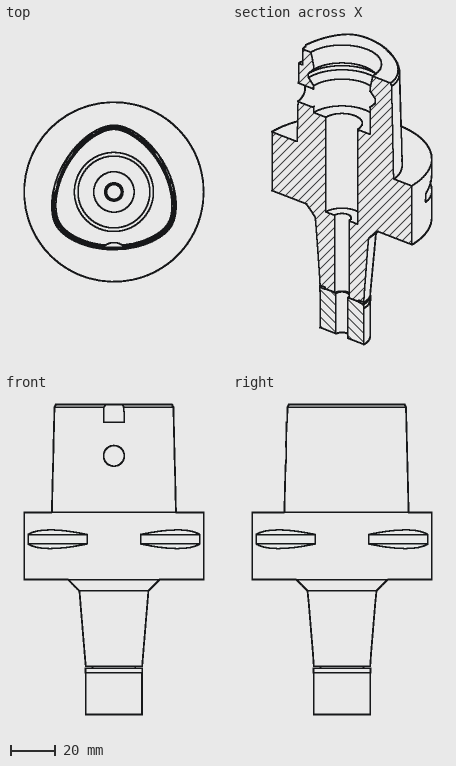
import cadquery as cq
import math


SHANK_HEIGHT = 48.0
SHANK_BASE_WIDTH = 55.4
SHANK_TAPER = 1 / 20
LOBE_HEIGHT = 2.0
LOBES = 3
LOBE_ANGLE = math.radians(90)
PROFILE_START_ANGLE = math.radians(-90)
PROFILE_POINTS = 36
RIM_CHAMFER_HEIGHT = 1.3
RIM_CHAMFER_WIDTH = 0.7

FLANGE_RADIUS = 40.0
FLANGE_HEIGHT = 30.0
SLOT_Z = -12.0
SLOT_FLAT_DISTANCE = 35.4
SLOT_FLOOR_HEIGHT = 4.15
SLOT_MOUTH_HEIGHT = 8.3
SLOT_COUNT = 4
SLOT_START_ANGLE = 45

CONE_TOP_RADIUS = 20.4
NECK_TOP_RADIUS = 15.4
NECK_TOP_Z = -FLANGE_HEIGHT - (CONE_TOP_RADIUS - NECK_TOP_RADIUS)
NECK_END_RADIUS = 12.6
NECK_END_Z = -68.6

GAP = 0.8
SPIGOT_RADIUS = 9.6

HEAD_RADIUS = 12.6
HEAD_COLLAR_RADIUS = 12.7
HEAD_COLLAR_HEIGHT = 2.1
HEAD_TOP_Z = NECK_END_Z - GAP
HEAD_END_Z = -90.0
HEAD_HOLE_RADIUS = 3.3

BORE_MOUTH_RADIUS = 17.6
BORE_RADIUS = 16.0
BORE_MOUTH_DEPTH = 6.6
UNDERCUT_RADIUS = 19.05
UNDERCUT_START_DEPTH = 8.2
UNDERCUT_END_DEPTH = 16.4
UNDERCUT_SLOPE = UNDERCUT_RADIUS - BORE_RADIUS
BORE_DEPTH = 30.0
BOLT_HOLE_RADIUS = 9.0
BOLT_HOLE_END_Z = -FLANGE_HEIGHT
COOLANT_HOLE_RADIUS = 4.05

NOTCH_RADIUS = 6.4
NOTCH_INNER_Y = -22.5
NOTCH_DEPTH = 8.0
SIDE_HOLE_RADIUS = 4.6
SIDE_HOLE_Z = 25.1
SIDE_HOLE_FLOOR_Y = -16.5


def shank_width(z):
    return SHANK_BASE_WIDTH - SHANK_TAPER * z


def shank_profile(width, z):
    """Smooth closed profile, traced by the normal direction of its tangent line."""
    points = []
    for index in range(PROFILE_POINTS):
        angle = PROFILE_START_ANGLE + 2 * math.pi * index / PROFILE_POINTS
        lobe_phase = LOBES * (angle - LOBE_ANGLE)
        reach = width / 2 + LOBE_HEIGHT * math.cos(lobe_phase)
        slide = -LOBES * LOBE_HEIGHT * math.sin(lobe_phase)
        x = reach * math.cos(angle) - slide * math.sin(angle)
        y = reach * math.sin(angle) + slide * math.cos(angle)
        points.append(cq.Vector(x, y, z))
    return cq.Wire.assembleEdges([cq.Edge.makeSpline(points, periodic=True)])


def tapered_shank():
    chamfer_z = SHANK_HEIGHT - RIM_CHAMFER_HEIGHT
    base = shank_profile(shank_width(0), 0)
    shoulder = shank_profile(shank_width(chamfer_z), chamfer_z)
    rim = shank_profile(shank_width(chamfer_z) - 2 * RIM_CHAMFER_WIDTH, SHANK_HEIGHT)
    cone = cq.Solid.makeLoft([base, shoulder], True)
    chamfer = cq.Solid.makeLoft([shoulder, rim], True)
    return cq.Workplane(cone).union(cq.Workplane(chamfer))


def turned(points):
    """Solid of revolution about Z from (radius, z) points."""
    return cq.Workplane("XZ").polyline(points).close().revolve(360, (0, 0, 0), (0, 1, 0))


def flange_and_neck():
    return turned([
        (0, 0),
        (FLANGE_RADIUS, 0),
        (FLANGE_RADIUS, -FLANGE_HEIGHT),
        (CONE_TOP_RADIUS, -FLANGE_HEIGHT),
        (NECK_TOP_RADIUS, NECK_TOP_Z),
        (NECK_END_RADIUS, NECK_END_Z),
        (SPIGOT_RADIUS, NECK_END_Z),
        (SPIGOT_RADIUS, HEAD_TOP_Z),
        (0, HEAD_TOP_Z),
    ])


def stepped_bore():
    top = SHANK_HEIGHT
    return turned([
        (0, top),
        (BORE_MOUTH_RADIUS, top),
        (BORE_RADIUS, top - BORE_MOUTH_DEPTH),
        (BORE_RADIUS, top - UNDERCUT_START_DEPTH),
        (UNDERCUT_RADIUS, top - UNDERCUT_START_DEPTH - UNDERCUT_SLOPE),
        (UNDERCUT_RADIUS, top - UNDERCUT_END_DEPTH + UNDERCUT_SLOPE),
        (BORE_RADIUS, top - UNDERCUT_END_DEPTH),
        (BORE_RADIUS, top - BORE_DEPTH),
        (BOLT_HOLE_RADIUS, top - BORE_DEPTH),
        (BOLT_HOLE_RADIUS, BOLT_HOLE_END_Z),
        (COOLANT_HOLE_RADIUS, BOLT_HOLE_END_Z),
        (COOLANT_HOLE_RADIUS, HEAD_TOP_Z),
        (0, HEAD_TOP_Z),
    ])


def rim_notch():
    return (
        cq.Workplane("XY", origin=(0, NOTCH_INNER_Y - NOTCH_RADIUS, SHANK_HEIGHT - NOTCH_DEPTH))
        .circle(NOTCH_RADIUS)
        .extrude(NOTCH_DEPTH)
    )


def side_hole():
    return (
        cq.Workplane("XZ", origin=(0, SIDE_HOLE_FLOOR_Y, SIDE_HOLE_Z))
        .circle(SIDE_HOLE_RADIUS)
        .extrude(SHANK_BASE_WIDTH / 2)
    )


def gripper_slot(angle):
    """Flat-floored slot with sloping sides, tangent to the flange at the given angle."""
    half_floor = SLOT_FLOOR_HEIGHT / 2
    half_mouth = SLOT_MOUTH_HEIGHT / 2
    return (
        cq.Workplane("XZ")
        .polyline([
            (SLOT_FLAT_DISTANCE, SLOT_Z - half_floor),
            (FLANGE_RADIUS, SLOT_Z - half_mouth),
            (FLANGE_RADIUS, SLOT_Z + half_mouth),
            (SLOT_FLAT_DISTANCE, SLOT_Z + half_floor),
        ])
        .close()
        .extrude(FLANGE_RADIUS, both=True)
        .rotate((0, 0, 0), (0, 0, 1), angle)
    )


def make_adapter():
    adapter = tapered_shank().union(flange_and_neck())
    adapter = adapter.cut(stepped_bore()).cut(rim_notch()).cut(side_hole())
    for index in range(SLOT_COUNT):
        adapter = adapter.cut(gripper_slot(SLOT_START_ANGLE + index * 360 / SLOT_COUNT))
    return adapter


def make_head():
    collar_end_z = HEAD_TOP_Z - HEAD_COLLAR_HEIGHT
    return turned([
        (HEAD_HOLE_RADIUS, HEAD_TOP_Z),
        (HEAD_COLLAR_RADIUS, HEAD_TOP_Z),
        (HEAD_COLLAR_RADIUS, collar_end_z),
        (HEAD_RADIUS, collar_end_z),
        (HEAD_RADIUS, HEAD_END_Z),
        (HEAD_HOLE_RADIUS, HEAD_END_Z),
    ])


adapter = make_adapter()
head = make_head()
result = cq.Compound.makeCompound([adapter.solids().val(), head.val()])